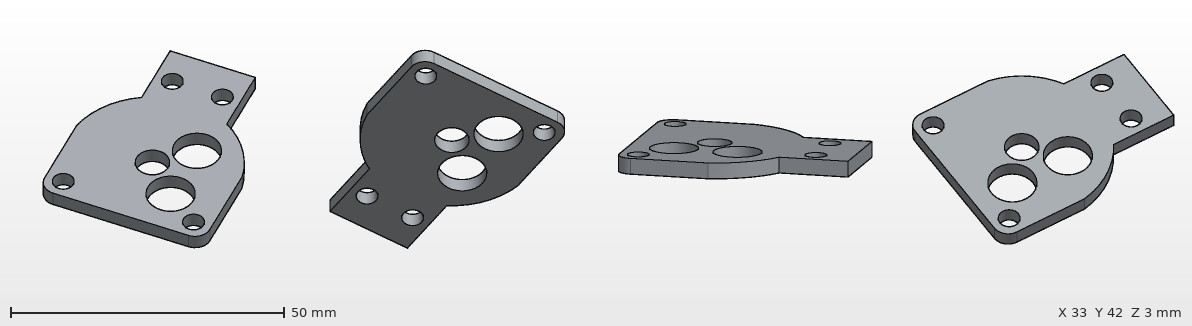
import cadquery as cq
import math

width = 33.0
length = 42.0
thickness = 3.0
corner_radius = 3.0
tab_width = 17.0

center_y = 14.5
shoulder_radius = 16.8

small_diameter = 4.0
center_diameter = 6.3
large_diameter = 9.0
tab_hole_spacing = 10.0
tab_hole_edge = 7.0
corner_hole_spacing = 26.0
corner_hole_edge = 3.53
large_hole_x = 6.25
large_hole_spacing = 12.0

half_width = width / 2
half_tab = tab_width / 2


def shoulder_y(x):
    """Height of the shoulder circle at a given distance from the center line."""
    return center_y + math.sqrt(shoulder_radius**2 - x**2)


def make_plate():
    """Plate with a square tab, arc shoulders and two rounded bottom corners."""
    middle_x = (half_width + half_tab) / 2
    middle_y = shoulder_y(middle_x)
    side_top = shoulder_y(half_width)
    tab_base = shoulder_y(half_tab)
    plate = (
        cq.Workplane("XY")
        .moveTo(-half_width, 0)
        .lineTo(half_width, 0)
        .lineTo(half_width, side_top)
        .threePointArc((middle_x, middle_y), (half_tab, tab_base))
        .lineTo(half_tab, length)
        .lineTo(-half_tab, length)
        .lineTo(-half_tab, tab_base)
        .threePointArc((-middle_x, middle_y), (-half_width, side_top))
        .close()
        .extrude(thickness)
    )
    return plate.edges("|Z and <Y").fillet(corner_radius)


def through_holes(points, diameter):
    """Cylinders that cut round holes through the whole plate."""
    return cq.Workplane("XY").pushPoints(points).circle(diameter / 2).extrude(thickness)


small_holes = []
for side in (-1, 1):
    small_holes.append((side * tab_hole_spacing / 2, length - tab_hole_edge))
    small_holes.append((side * corner_hole_spacing / 2, corner_hole_edge))

large_holes = [
    (large_hole_x, center_y + side * large_hole_spacing / 2) for side in (-1, 1)
]

result = (
    make_plate()
    .cut(through_holes(small_holes, small_diameter))
    .cut(through_holes([(0, center_y)], center_diameter))
    .cut(through_holes(large_holes, large_diameter))
)